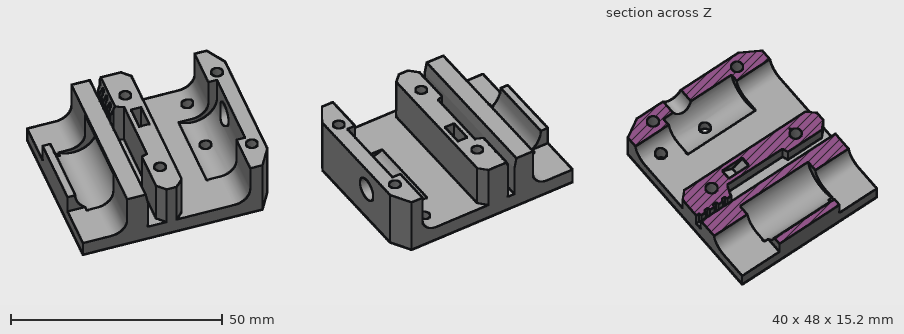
import cadquery as cq
import math

width = 40.0
length = 48.0
height = 15.15
floor_height = 4.05
half_width = width / 2

front_wall_front = 11.1
front_wall_back = 16.3
middle_wall_back = 25.5
rear_wall_front = 42.0
rod_radius = 4.0
rear_chamfer_x = 4.9
rear_chamfer_y = 2.95

bearing_width = 20.1
bearing_radius = 6.05
bearing_axis_z = 8.9
front_bearing_y = 8.0
rear_bearing_y = 38.1
lip_width = 17.9
lip_depth = 1.95

wall_corner = 1.95
right_front_y = 19.0
recess_y = 20.45
recess_left = -8.95
recess_right = 7.4
recess_right_run = 0.55
tooth_root_y = 18.1
tooth_tip_y = 17.4
recess_left_run = 1.3

tooth_count = 4
tooth_pitch = 2.55
first_tooth_x = -18.3
tooth_root_width = 1.7
tooth_tip_width = 1.3
bevel_bottom = 12.2
tooth_bevel = 1.1
front_wall_bevel = 0.6

hole_diameter = 2.8
post_hole_x = 12.5
post_hole_rows = (22.0, 45.0)
floor_holes = ((-15.05, 38.45), (-2.0, 38.45))
nut_x = -4.6
nut_y = 22.97
nut_across_flats = 5.85
nut_thickness = 2.55
bore_diameter = 5.9
bore_axis_z = 9.0


def box(x_size, y_start, y_end, z_start, z_end):
    """Block centred in X and placed by its Y and Z limits."""
    return (
        cq.Workplane("XY")
        .box(x_size, y_end - y_start, z_end - z_start, centered=(True, False, False))
        .translate((0, y_start, z_start))
    )


def along_x(profile, x_size):
    """Extrude a YZ profile symmetrically about X = 0."""
    return profile.extrude(x_size / 2, both=True)


def make_base():
    """Floor, front wall and rear wall, with a rounded rod seat at each wall."""
    arc_offset = rod_radius * math.sqrt(0.5)
    seat_z = floor_height + rod_radius
    front_seat_y = front_wall_front - rod_radius
    rear_seat_y = rear_wall_front - rod_radius
    profile = (
        cq.Workplane("YZ")
        .moveTo(0, 0)
        .lineTo(length, 0)
        .lineTo(length, height)
        .lineTo(rear_wall_front, height)
        .lineTo(rear_wall_front, seat_z)
        .threePointArc((rear_seat_y + arc_offset, seat_z - arc_offset), (rear_seat_y, floor_height))
        .lineTo(front_wall_back, floor_height)
        .lineTo(front_wall_back, bevel_bottom)
        .lineTo(front_wall_back - front_wall_bevel, height)
        .lineTo(front_wall_front, height)
        .lineTo(front_wall_front, seat_z)
        .threePointArc((front_seat_y + arc_offset, seat_z - arc_offset), (front_seat_y, floor_height))
        .lineTo(0, floor_height)
        .close()
    )
    return along_x(profile, width)


def make_middle_wall():
    """Wall with a stepped front face, belt teeth and a bevel above the teeth."""
    left_slope = recess_left_run / (recess_y - tooth_tip_y)
    toothed_end = recess_left - left_slope * (recess_y - tooth_root_y)
    wall = (
        cq.Workplane("XY", origin=(0, 0, floor_height))
        .moveTo(-half_width, tooth_root_y)
        .lineTo(toothed_end, tooth_root_y)
        .lineTo(recess_left, recess_y)
        .lineTo(recess_right, recess_y)
        .lineTo(recess_right + recess_right_run, right_front_y)
        .lineTo(half_width - wall_corner, right_front_y)
        .lineTo(half_width, right_front_y + wall_corner)
        .lineTo(half_width, middle_wall_back - wall_corner)
        .lineTo(half_width - wall_corner, middle_wall_back)
        .lineTo(wall_corner - half_width, middle_wall_back)
        .lineTo(-half_width, middle_wall_back - wall_corner)
        .close()
        .extrude(height - floor_height)
    )
    for index in range(tooth_count):
        tooth_x = first_tooth_x + index * tooth_pitch
        tooth = (
            cq.Workplane("XY", origin=(tooth_x, 0, floor_height))
            .moveTo(-tooth_root_width / 2, tooth_root_y)
            .lineTo(-tooth_tip_width / 2, tooth_tip_y)
            .lineTo(tooth_tip_width / 2, tooth_tip_y)
            .lineTo(tooth_root_width / 2, tooth_root_y)
            .close()
            .extrude(height - floor_height)
        )
        wall = wall.union(tooth)
    bevel = (
        cq.Workplane("YZ")
        .moveTo(tooth_tip_y, bevel_bottom)
        .lineTo(tooth_tip_y + tooth_bevel, height)
        .lineTo(tooth_tip_y, height)
        .close()
    )
    return wall.cut(along_x(bevel, width))


def bearing_cylinder(axis_y):
    """Round bearing seat along X."""
    circle = cq.Workplane("YZ").center(axis_y, bearing_axis_z).circle(bearing_radius)
    return along_x(circle, bearing_width)


def make_seat_roof():
    """Peaked roof over the front seat, its two 45 degree slopes tangent to the cylinder."""
    tangent_offset = bearing_radius * math.sqrt(0.5)
    peak_z = bearing_axis_z + bearing_radius * math.sqrt(2)
    profile = (
        cq.Workplane("YZ")
        .moveTo(front_bearing_y - tangent_offset, bearing_axis_z + tangent_offset)
        .lineTo(front_bearing_y + tangent_offset, bearing_axis_z + tangent_offset)
        .lineTo(front_bearing_y, peak_z)
        .close()
    )
    return along_x(profile, bearing_width)


def make_nut_trap():
    """Hexagonal nut pocket, point down, open to the top of the middle wall."""
    corner_radius = nut_across_flats / math.sqrt(3)
    half_flats = nut_across_flats / 2
    profile = (
        cq.Workplane("XZ", origin=(nut_x, nut_y, bore_axis_z))
        .moveTo(0, -corner_radius)
        .lineTo(half_flats, -corner_radius / 2)
        .lineTo(half_flats, height - bore_axis_z)
        .lineTo(-half_flats, height - bore_axis_z)
        .lineTo(-half_flats, -corner_radius / 2)
        .close()
    )
    return profile.extrude(nut_thickness / 2, both=True)


def make_access_bore():
    """Round bore along Y through the rear wall, in line with the nut trap."""
    return (
        cq.Workplane("XZ", origin=(nut_x, rear_bearing_y, bore_axis_z))
        .circle(bore_diameter / 2)
        .extrude(rear_bearing_y - length)
    )


def make_screw_holes():
    """Vertical holes through the walls and the floor."""
    centres = [(side * post_hole_x, y) for y in post_hole_rows for side in (-1, 1)]
    centres.extend(floor_holes)
    return cq.Workplane("XY").pushPoints(centres).circle(hole_diameter / 2).extrude(height)


def make_rear_corner(side):
    """Triangular prism that trims one rear corner."""
    return (
        cq.Workplane("XY")
        .moveTo(side * half_width, length)
        .lineTo(side * (half_width - rear_chamfer_x), length)
        .lineTo(side * half_width, length - rear_chamfer_y)
        .close()
        .extrude(height)
    )


result = make_base().union(make_middle_wall())
result = result.union(box(lip_width, 0, front_bearing_y, floor_height, bearing_axis_z))
result = result.cut(bearing_cylinder(front_bearing_y)).cut(make_seat_roof())
result = result.cut(box(lip_width, lip_depth, front_bearing_y, bearing_axis_z, height))

rear_seat_end = rear_bearing_y + bearing_radius
result = result.cut(bearing_cylinder(rear_bearing_y))
result = result.cut(box(bearing_width, rear_bearing_y, rear_seat_end, bearing_axis_z, height))

result = result.cut(make_nut_trap()).cut(make_access_bore()).cut(make_screw_holes())
for side in (-1, 1):
    result = result.cut(make_rear_corner(side))